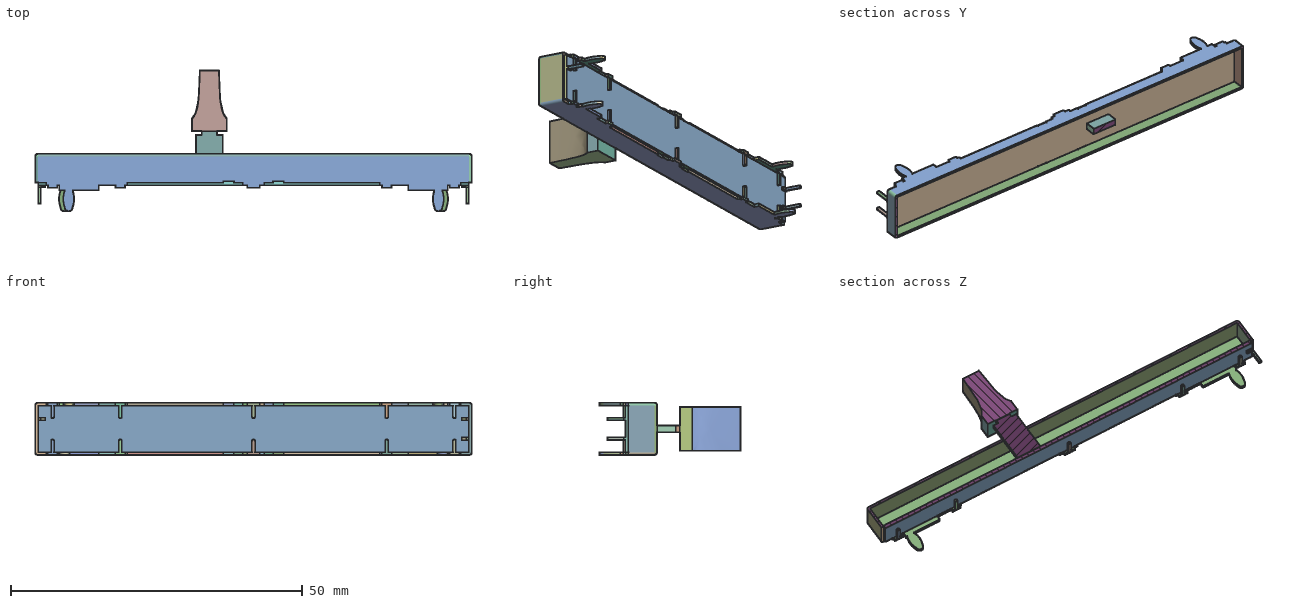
import cadquery as cq

COVER_LENGTH = 75.0
COVER_WIDTH = 9.0
COVER_DEPTH = 4.95
SHEET = 0.5
BEND_RADIUS = 0.48
INNER_LENGTH = COVER_LENGTH - 2 * SHEET
INNER_WIDTH = COVER_WIDTH - 2 * SHEET

BASE_PROTRUSION = 0.49
BASE_BOTTOM = COVER_DEPTH + BASE_PROTRUSION
BASE_THICKNESS = 0.75

BAND_DEPTH = 5.4
MIDDLE_BAND_HALF_LENGTH = 1.9
END_BAND_START = 21.7
END_BAND_END = 35.55
SHOULDER_DEPTH = 6.3
SHOULDER_START = 26.55
SHOULDER_END = 33.4
RELIEF_CENTER = 4.3
RELIEF_LENGTH = 1.8
RELIEF_HEIGHT = 0.2

TAB_DEPTH = 5.85
MIDDLE_TAB_LENGTH = 2.2
OUTER_TAB_LENGTH = 1.65
INNER_TAB_OFFSET = 22.9
END_TAB_OFFSET = 34.5
RIB_WIDTH = 0.5
RIB_LENGTH = 2.2

LEG_TIP_DEPTH = 9.9
LEG_NECK_WIDTH = 1.35
LEG_BULGE_WIDTH = 1.9
UPPER_LEG_OFFSET = 31.7
LOWER_LEG_OFFSET = 32.5

PIN_SIZE = 0.49
PIN_ROUNDING = 0.2
PIN_TIP_DEPTH = 8.55
PIN_Z = 1.69
FOOT_LENGTH = 1.2
FOOT_THICKNESS = 0.3

SLIDER_X = -7.6
LEVER_WIDTH = 4.65
LEVER_THICKNESS = 1.2
LEVER_HEIGHT = 3.2
NECK_WIDTH = 2.7

KNOB_BOTTOM = 3.9
KNOB_HEIGHT = 10.4
KNOB_WIDTH = 6.0
KNOB_TOP_WIDTH = 3.3
KNOB_WAIST_WIDTH = 3.75
KNOB_WAIST_HEIGHT = 5.25
KNOB_SKIRT_HEIGHT = 2.1
FLANK_FOOT_SLOPE = 1.0
FLANK_TOP_SLOPE = 20.0
KNOB_THICKNESS = 7.6


def block(x_range, y_range, z_range):
    """Axis-aligned box between the given (low, high) limits."""
    (x0, x1), (y0, y1), (z0, z1) = x_range, y_range, z_range
    return cq.Workplane("XY").box(x1 - x0, y1 - y0, z1 - z0, centered=False).translate((x0, y0, z0))


def centered_range(center, length):
    return (center - length / 2, center + length / 2)


def mirrored_ranges(start, end):
    """The same stretch of X on both halves of the cover."""
    return [(-end, -start), (start, end)]


def make_tray():
    """Open box with bent outer edges and sharp inner corners."""
    length, width = centered_range(0, COVER_LENGTH), centered_range(0, COVER_WIDTH)
    tray = block(length, (-COVER_DEPTH, 0), width).edges("|Y").fillet(BEND_RADIUS)
    tray = tray.faces(">Y").edges().fillet(BEND_RADIUS)
    cavity = block(
        centered_range(0, INNER_LENGTH), (-COVER_DEPTH, -SHEET), centered_range(0, INNER_WIDTH)
    )
    return tray.cut(cavity)


def make_leg(center_x, wall_z):
    """Bulged mounting leg with a round tip, one sheet thick."""
    neck = LEG_NECK_WIDTH / 2
    bulge = LEG_BULGE_WIDTH / 2
    tip_start = -(LEG_TIP_DEPTH - neck)
    middle = -(SHOULDER_DEPTH - tip_start) / 2
    return (
        cq.Workplane("XY", origin=(center_x, 0, wall_z[0]))
        .moveTo(-neck, -COVER_DEPTH)
        .lineTo(-neck, -SHOULDER_DEPTH)
        .threePointArc((-bulge, middle), (-neck, tip_start))
        .threePointArc((0, -LEG_TIP_DEPTH), (neck, tip_start))
        .threePointArc((bulge, middle), (neck, -SHOULDER_DEPTH))
        .lineTo(neck, -COVER_DEPTH)
        .close()
        .extrude(SHEET)
    )


def make_rib(center_x, side):
    """Round-ended rib from a crimp tab across the bottom of the base board."""
    root = side * (COVER_WIDTH / 2 - SHEET)
    tip = root - side * RIB_LENGTH
    half = RIB_WIDTH / 2
    round_start = tip + side * half
    bar = block(
        (center_x - half, center_x + half),
        (-TAB_DEPTH, -BASE_BOTTOM),
        sorted((root + side * SHEET, round_start)),
    )
    rounded_tip = (
        cq.Workplane("XZ", origin=(center_x, -BASE_BOTTOM, round_start))
        .circle(half)
        .extrude(TAB_DEPTH - BASE_BOTTOM)
    )
    return bar.union(rounded_tip)


def make_cover():
    cover = make_tray()
    end_bands = mirrored_ranges(END_BAND_START, END_BAND_END)
    shoulders = mirrored_ranges(SHOULDER_START, SHOULDER_END)
    outer_tab_centers = [s * x for s in (-1, 1) for x in (INNER_TAB_OFFSET, END_TAB_OFFSET)]
    tabs = [centered_range(0, MIDDLE_TAB_LENGTH)]
    tabs += [centered_range(x, OUTER_TAB_LENGTH) for x in outer_tab_centers]

    for side, leg_offset in ((1, UPPER_LEG_OFFSET), (-1, LOWER_LEG_OFFSET)):
        wall_z = sorted((side * COVER_WIDTH / 2, side * (COVER_WIDTH / 2 - SHEET)))
        strips = [(centered_range(0, 2 * MIDDLE_BAND_HALF_LENGTH), BAND_DEPTH)]
        strips += [(x_range, BAND_DEPTH) for x_range in end_bands]
        strips += [(x_range, SHOULDER_DEPTH) for x_range in shoulders]
        strips += [(x_range, TAB_DEPTH) for x_range in tabs]
        for x_range, depth in strips:
            cover = cover.union(block(x_range, (-depth, -COVER_DEPTH), wall_z))
        for center_x in (-leg_offset, leg_offset):
            cover = cover.union(make_leg(center_x, wall_z))
        for center_x in [0] + outer_tab_centers:
            cover = cover.union(make_rib(center_x, side))
        for center_x in (-RELIEF_CENTER, RELIEF_CENTER):
            relief_y = (-COVER_DEPTH, -COVER_DEPTH + RELIEF_HEIGHT)
            cover = cover.cut(block(centered_range(center_x, RELIEF_LENGTH), relief_y, wall_z))

    lever_hole = block(
        centered_range(SLIDER_X, LEVER_WIDTH), (-SHEET, 0), centered_range(0, LEVER_THICKNESS)
    )
    return cover.cut(lever_hole)


def make_terminal(end, center_z):
    """L-shaped terminal: a foot along the board and a pin with rounded outer edges."""
    board_end = end * INNER_LENGTH / 2
    z_range = centered_range(center_z, PIN_SIZE)
    pin_x = sorted((board_end, board_end - end * PIN_SIZE))
    pin = block(pin_x, (-PIN_TIP_DEPTH, -BASE_BOTTOM), z_range)
    outer_face = ">X" if end > 0 else "<X"
    pin = pin.faces(outer_face).edges("|Y").fillet(PIN_ROUNDING)
    foot_x = sorted((board_end, board_end - end * FOOT_LENGTH))
    foot = block(foot_x, (-BASE_BOTTOM - FOOT_THICKNESS, -BASE_BOTTOM), z_range)
    return pin.union(foot)


def make_base():
    base = block(
        centered_range(0, INNER_LENGTH),
        (-BASE_BOTTOM, -BASE_BOTTOM + BASE_THICKNESS),
        centered_range(0, INNER_WIDTH),
    )
    for end, center_z in ((-1, PIN_Z), (1, PIN_Z), (1, -PIN_Z)):
        base = base.union(make_terminal(end, center_z))
    return base


def make_lever():
    """Flat lever standing on the base board, with a narrow neck up to the knob."""
    z_range = centered_range(0, LEVER_THICKNESS)
    blade_y = (-BASE_BOTTOM + BASE_THICKNESS, LEVER_HEIGHT)
    blade = block(centered_range(SLIDER_X, LEVER_WIDTH), blade_y, z_range)
    neck = block(centered_range(SLIDER_X, NECK_WIDTH), (LEVER_HEIGHT, KNOB_BOTTOM), z_range)
    return blade.union(neck)


def make_knob():
    """Knob with a straight skirt and concave flanks that narrow to the top."""
    skirt, waist, top = KNOB_WIDTH / 2, KNOB_WAIST_WIDTH / 2, KNOB_TOP_WIDTH / 2
    right_flank = [(waist, KNOB_WAIST_HEIGHT), (top, KNOB_HEIGHT)]
    right_tangents = [(-1, FLANK_FOOT_SLOPE), (-1, FLANK_TOP_SLOPE)]
    left_flank = [(-waist, KNOB_WAIST_HEIGHT), (-skirt, KNOB_SKIRT_HEIGHT)]
    left_tangents = [(-1, -FLANK_TOP_SLOPE), (-1, -FLANK_FOOT_SLOPE)]
    return (
        cq.Workplane("XY", origin=(SLIDER_X, KNOB_BOTTOM, -KNOB_THICKNESS / 2))
        .moveTo(-skirt, 0)
        .lineTo(skirt, 0)
        .lineTo(skirt, KNOB_SKIRT_HEIGHT)
        .spline(right_flank, tangents=right_tangents, includeCurrent=True)
        .lineTo(-top, KNOB_HEIGHT)
        .spline(left_flank, tangents=left_tangents, includeCurrent=True)
        .close()
        .extrude(KNOB_THICKNESS)
    )


cover = make_cover()
base = make_base()
lever = make_lever()
knob = make_knob()

bodies = [cover, base, lever, knob]
result = cq.Compound.makeCompound([body.solids().val() for body in bodies])